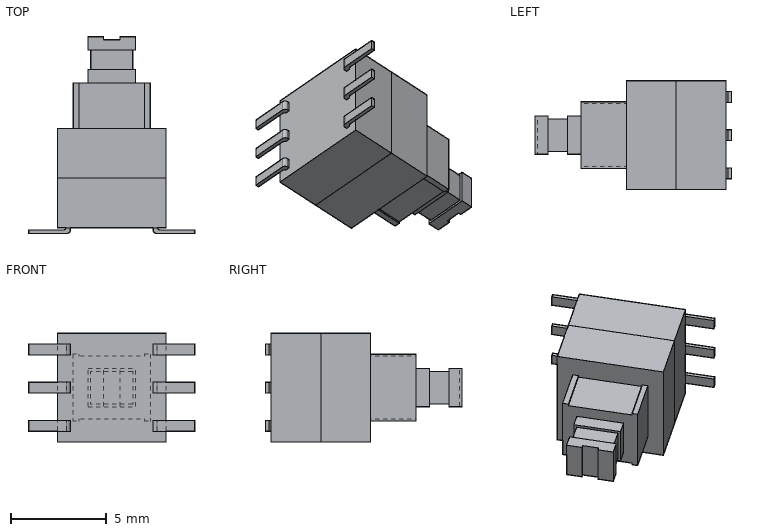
import cadquery as cq

terminal_span = 8.7
total_length = 10.3

housing_side = 5.7
housing_bottom = 0.3
housing_top = 5.51
housing_split = (housing_bottom + housing_top) / 2

neck_top = 7.89
neck_width = 4.03
neck_height = 3.5
rail_width = 0.31
rail_rise = 0.1

button_width = 2.5
button_height = 2.01
waist_inset = 0.14
collar_top = 8.59
head_bottom = 9.6
slot_width = 0.84
slot_depth = 0.15

terminal_length = 2.19
terminal_width = 0.58
terminal_thickness = 0.2
terminal_pitch = 2.0
bend_radius = 0.2


def block(width, height, y_start, y_end):
    """Box centred on the Y axis, running from y_start to y_end."""
    box = cq.Workplane("XY").box(width, y_end - y_start, height)
    return box.translate((0, (y_start + y_end) / 2, 0))


def make_terminal(z):
    """Left-hand L-shaped terminal: a leg out of the base bent outward into a flat foot."""
    foot_end = -terminal_span / 2
    leg_inner = foot_end + terminal_length
    leg_outer = leg_inner - terminal_thickness
    leg_end = terminal_thickness + bend_radius
    profile = (
        cq.Workplane("XY")
        .moveTo(foot_end, 0)
        .lineTo(leg_inner - bend_radius, 0)
        .radiusArc((leg_inner, bend_radius), -bend_radius)
        .lineTo(leg_inner, leg_end)
        .lineTo(leg_outer, leg_end)
        .radiusArc((leg_outer - bend_radius, terminal_thickness), bend_radius)
        .lineTo(foot_end, terminal_thickness)
        .close()
    )
    return profile.extrude(terminal_width / 2, both=True).translate((0, 0, z))


def make_base():
    """Lower half of the housing together with its six terminals."""
    base = block(housing_side, housing_side, housing_bottom, housing_split)
    for row in (-1, 0, 1):
        terminal = make_terminal(row * terminal_pitch)
        base = base.union(terminal).union(terminal.mirror("YZ"))
    return base


def make_cover():
    """Upper half of the housing with the neck, recessed between its rails."""
    cover = block(housing_side, housing_side, housing_split, housing_top)
    neck_core = block(neck_width, neck_height - 2 * rail_rise, housing_top, neck_top)
    cover = cover.union(neck_core)
    rail_offset = (neck_width - rail_width) / 2
    for side in (-1, 1):
        rail = block(rail_width, neck_height, housing_top, neck_top)
        cover = cover.union(rail.translate((side * rail_offset, 0, 0)))
    return cover


def make_button():
    """Push button standing on the end of the neck."""
    collar = block(button_width, button_height, neck_top, collar_top)
    waist_width = button_width - 2 * waist_inset
    waist_height = button_height - 2 * waist_inset
    waist = block(waist_width, waist_height, collar_top, head_bottom)
    head = block(button_width, button_height, head_bottom, total_length)
    slot = block(slot_width, button_height, total_length - slot_depth, total_length)
    return collar.union(waist).union(head).cut(slot)


base = make_base()
cover = make_cover()
button = make_button()

result = cq.Compound.makeCompound([base.val(), cover.val(), button.val()])